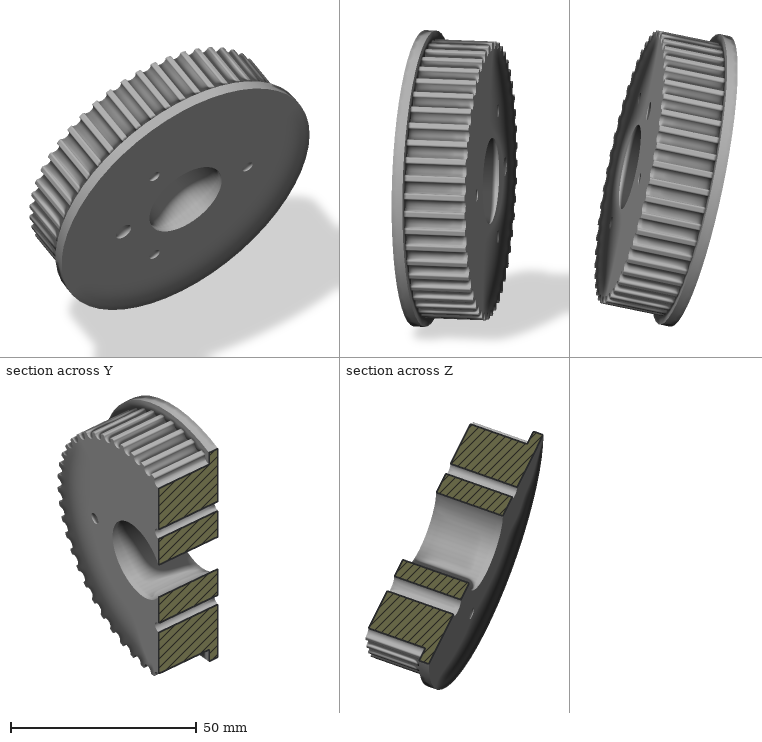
import cadquery as cq
import math

flange_diameter = 80.0
total_length = 19.5
flange_thickness = 3.0
rim_length = total_length - flange_thickness
rim_radius = 37.6

groove_count = 48
groove_depth = 2.0
groove_arc_radius = 1.4
groove_floor_width = 0.21
tooth_tip_radius = 0.43

bore_diameter = 23.3
bolt_circle_radius = 20.0
screw_hole_count = 3
screw_hole_diameter = 3.3
pin_hole_diameter = 5.0


def spaced_angles(count):
    """Angles of equally spaced features around the axis, starting at +Y."""
    return [2 * math.pi * index / count for index in range(count)]


def groove_outline(angle):
    """Groove section: a small flat floor, two quarter arcs and straight walls."""
    half_floor = groove_floor_width / 2
    half_width = half_floor + groove_arc_radius
    floor_radius = rim_radius - groove_depth
    wall_radius = floor_radius + groove_arc_radius
    arc_offset = groove_arc_radius * math.sqrt(0.5)
    mid_side = half_floor + arc_offset
    mid_radius = wall_radius - arc_offset
    outside_radius = rim_radius + groove_depth

    def place(side, radius):
        """Turn a point given across and along the groove's centre line into Y and Z."""
        return (
            radius * math.cos(angle) - side * math.sin(angle),
            radius * math.sin(angle) + side * math.cos(angle),
        )

    return (
        cq.Workplane("YZ")
        .moveTo(*place(-half_width, outside_radius))
        .lineTo(*place(-half_width, wall_radius))
        .threePointArc(place(-mid_side, mid_radius), place(-half_floor, floor_radius))
        .lineTo(*place(half_floor, floor_radius))
        .threePointArc(place(mid_side, mid_radius), place(half_width, wall_radius))
        .lineTo(*place(half_width, outside_radius))
        .close()
    )


def toothed_rim():
    """Cylinder with belt grooves along its full length."""
    rim = cq.Workplane("YZ").circle(rim_radius).extrude(rim_length)
    for angle in spaced_angles(groove_count):
        rim = rim.cut(groove_outline(angle).extrude(rim_length))
    return rim


def round_tooth_tips(rim):
    """Round the lengthwise corners where the groove walls meet the rim's outer surface."""
    tip_band_radius = rim_radius - tooth_tip_radius / 2

    def is_tip_corner(edge):
        center = edge.Center()
        return math.hypot(center.y, center.z) > tip_band_radius

    return rim.edges("|X").filter(is_tip_corner).fillet(tooth_tip_radius)


def through_hole(diameter, y, z):
    """Cylinder that cuts a hole along X through the whole part."""
    return cq.Workplane("YZ").center(y, z).circle(diameter / 2).extrude(total_length)


flange = (
    cq.Workplane("YZ")
    .workplane(offset=rim_length)
    .circle(flange_diameter / 2)
    .extrude(flange_thickness)
)
result = round_tooth_tips(toothed_rim()).union(flange)

result = result.cut(through_hole(bore_diameter, 0, 0))
result = result.cut(through_hole(pin_hole_diameter, -bolt_circle_radius, 0))

for hole_angle in spaced_angles(screw_hole_count):
    hole_y = bolt_circle_radius * math.cos(hole_angle)
    hole_z = bolt_circle_radius * math.sin(hole_angle)
    result = result.cut(through_hole(screw_hole_diameter, hole_y, hole_z))